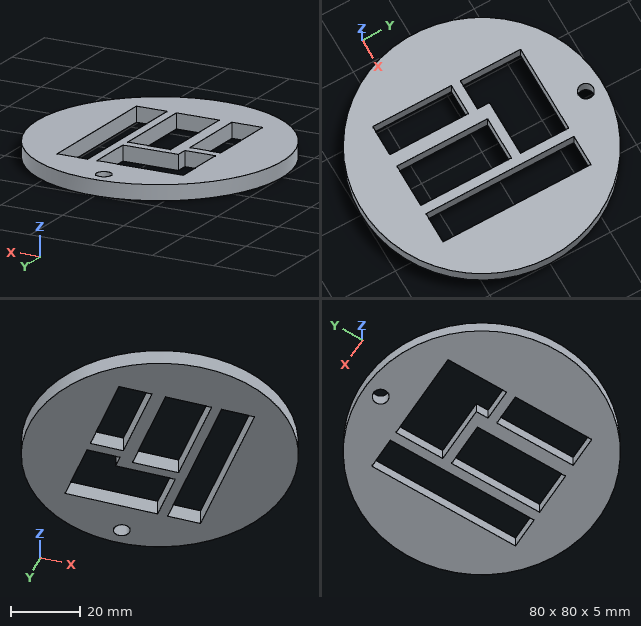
import cadquery as cq

disc_diameter = 80
thickness = 5.0
hole_diameter = 4.8
hole_offset = 34.5

frame_width = 41.2
frame_height = 49.0
right = frame_width / 2
left = -right
top = frame_height / 2
bottom = -top

bar = 3.0
side_window_width = 10.0
lower_left_window_height = 26.0
middle_window_width = 14.0
middle_window_height = 30.0

right_window_left = right - side_window_width
middle_right = right_window_left - bar
middle_left = middle_right - middle_window_width
left_window_right = left + side_window_width
left_window_top = bottom + lower_left_window_height
middle_window_top = bottom + middle_window_height
step_low = left_window_top + bar
step_high = middle_window_top + bar


def through_cutter(points):
    """Prism through the full thickness with the given closed outline."""
    return cq.Workplane("XY").polyline(points).close().extrude(thickness)


def window(x_min, x_max, y_max):
    """Rectangular window standing on the bottom edge of the frame."""
    return through_cutter([(x_min, bottom), (x_max, bottom), (x_max, y_max), (x_min, y_max)])


result = cq.Workplane("XY").circle(disc_diameter / 2).extrude(thickness)

result = result.cut(
    cq.Workplane("XY").center(0, hole_offset).circle(hole_diameter / 2).extrude(thickness)
)

result = result.cut(window(left, left_window_right, left_window_top))
result = result.cut(window(middle_left, middle_right, middle_window_top))
result = result.cut(window(right_window_left, right, top))

result = result.cut(
    through_cutter([
        (left, top),
        (middle_right, top),
        (middle_right, step_high),
        (left_window_right, step_high),
        (left_window_right, step_low),
        (left, step_low),
    ])
)